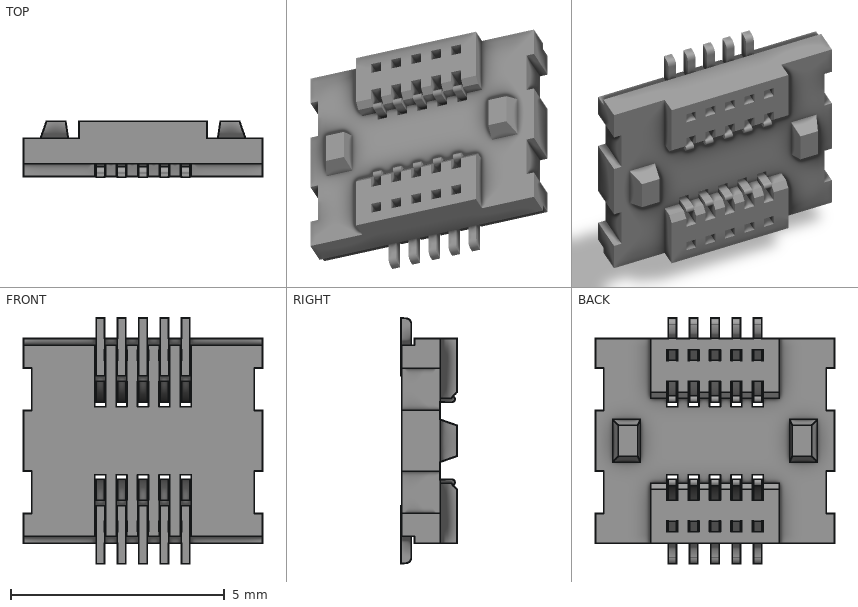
import cadquery as cq
import math


DIAGONAL = math.sqrt(0.5)

body_width = 5.6
body_height = 4.8
standoff = 0.02
plate_thickness = 0.9
plate_back = standoff + plate_thickness
mating_height = 0.4
mating_face = plate_back + mating_height

step_height = 0.16
step_depth = 0.3
step_floor = standoff + step_depth

notch_depth = 0.19
notch_inner_z = 0.71
notch_outer_z = 1.7

block_width = 3.0
block_inner_z = 1.0
block_chamfer = 0.14

peg_base_inner_x = 1.75
peg_base_outer_x = 2.4
peg_inner_taper = 0.06
peg_outer_taper = 0.14
peg_base_height = 1.0
peg_end_taper = 0.14

contacts_per_row = 5
pitch = 0.5
slot_width = 0.25
slot_inner_z = 0.8
slot_outer_z = body_height / 2
arm_opening_outer_z = 1.39
window_inner_z = 1.88
window_outer_z = 2.13

contact_width = 0.2
foot_inner_z = 1.52
foot_outer_z = 2.88
foot_thickness = 0.25
foot_end_draft = 0.01
foot_corner_radius = 0.14
strip_thickness = 0.15
arm_inner_z = 0.9
arm_bend_radius = 0.72
arm_bend_end_y = 1.05
arm_tip_recess = 0.05
arm_tip = mating_face - arm_tip_recess


def box(x_range, y_range, z_range):
    """Axis-aligned box from its (low, high) limits along X, Y and Z."""
    size = [high - low for low, high in (x_range, y_range, z_range)]
    corner = (x_range[0], y_range[0], z_range[0])
    return cq.Workplane("XY").box(*size, centered=False).translate(corner)


def x_span(center, width):
    """Limits of a width centred on an X position."""
    return (center - width / 2, center + width / 2)


def extrude_along_x(outline, center, width):
    """Extrude a closed (Y, Z) outline along X, centred on an X position."""
    return outline.extrude(width / 2, both=True).translate((center, 0, 0))


def both_ends(upper):
    """Join a feature at the +Z end with its mirror image at the -Z end."""
    return upper.union(upper.mirror("XY"))


def make_plate():
    full_width = x_span(0, body_width)
    top_z = body_height / 2
    plate = box(full_width, (standoff, plate_back), (-top_z, top_z))
    step = box(full_width, (standoff, step_floor), (top_z - step_height, top_z))
    plate = plate.cut(both_ends(step))
    for side in (-1, 1):
        notch_center = side * (body_width - notch_depth) / 2
        notch = box(
            x_span(notch_center, notch_depth),
            (standoff, plate_back),
            (notch_inner_z, notch_outer_z),
        )
        plate = plate.cut(both_ends(notch))
    return plate


def make_block():
    outline = cq.Workplane("YZ").polyline([
        (plate_back, block_inner_z),
        (mating_face - block_chamfer, block_inner_z),
        (mating_face, block_inner_z + block_chamfer),
        (mating_face, body_height / 2),
        (plate_back, body_height / 2),
    ]).close()
    return extrude_along_x(outline, 0, block_width)


def make_peg():
    """Peg on the +X side."""
    base_width = peg_base_outer_x - peg_base_inner_x
    peg = cq.Workplane("XY").wedge(
        base_width, mating_height, peg_base_height,
        peg_inner_taper, peg_end_taper,
        base_width - peg_outer_taper, peg_base_height - peg_end_taper,
        centered=(False, False, True),
    )
    return peg.translate((peg_base_inner_x, plate_back, 0))


def make_slot(center):
    """Slot pocket with its arm opening and post window."""
    across = x_span(center, slot_width)
    through = (standoff, mating_face)
    pocket = box(across, (standoff, step_floor), (slot_inner_z, slot_outer_z))
    arm_opening = box(across, through, (slot_inner_z, arm_opening_outer_z))
    window = box(across, through, (window_inner_z, window_outer_z))
    return pocket.union(arm_opening).union(window)


def make_foot(center):
    """Solder foot with a slightly drafted end and a rounded rear corner."""
    drafted_end_z = foot_outer_z - foot_end_draft
    round_y = foot_thickness - foot_corner_radius
    round_z = drafted_end_z - foot_corner_radius
    outline = (
        cq.Workplane("YZ")
        .moveTo(0, foot_inner_z)
        .lineTo(0, foot_outer_z)
        .lineTo(round_y, drafted_end_z)
        .threePointArc(
            (round_y + foot_corner_radius * DIAGONAL, round_z + foot_corner_radius * DIAGONAL),
            (foot_thickness, round_z),
        )
        .lineTo(foot_thickness, foot_inner_z)
        .close()
    )
    return extrude_along_x(outline, center, contact_width)


def make_spring(center):
    """Strip that runs from the post window towards Z = 0 and bends to +Y."""
    inner_radius = arm_bend_radius - strip_thickness
    bend_z = arm_inner_z + arm_bend_radius
    bend_y = arm_bend_end_y
    strip_front = bend_y - arm_bend_radius
    strip_back = strip_front + strip_thickness
    tip_radius = strip_thickness / 2
    tip_y = arm_tip - tip_radius
    arm_outer_z = arm_inner_z + strip_thickness
    outline = (
        cq.Workplane("YZ")
        .moveTo(strip_front, window_outer_z)
        .lineTo(strip_front, bend_z)
        .threePointArc(
            (bend_y - arm_bend_radius * DIAGONAL, bend_z - arm_bend_radius * DIAGONAL),
            (bend_y, arm_inner_z),
        )
        .lineTo(tip_y, arm_inner_z)
        .threePointArc((arm_tip, arm_inner_z + tip_radius), (tip_y, arm_outer_z))
        .lineTo(bend_y, arm_outer_z)
        .threePointArc(
            (bend_y - inner_radius * DIAGONAL, bend_z - inner_radius * DIAGONAL),
            (strip_back, bend_z),
        )
        .lineTo(strip_back, window_outer_z)
        .close()
    )
    post = box(
        x_span(center, contact_width),
        (foot_thickness, strip_back),
        (window_inner_z, window_outer_z),
    )
    return extrude_along_x(outline, center, contact_width).union(post)


peg = make_peg()
result = make_plate().union(both_ends(make_block()))
result = result.union(peg).union(peg.mirror("YZ"))

for index in range(contacts_per_row):
    contact_x = (index - (contacts_per_row - 1) / 2) * pitch
    contact = make_foot(contact_x).union(make_spring(contact_x))
    result = result.cut(both_ends(make_slot(contact_x)))
    result = result.union(both_ends(contact))